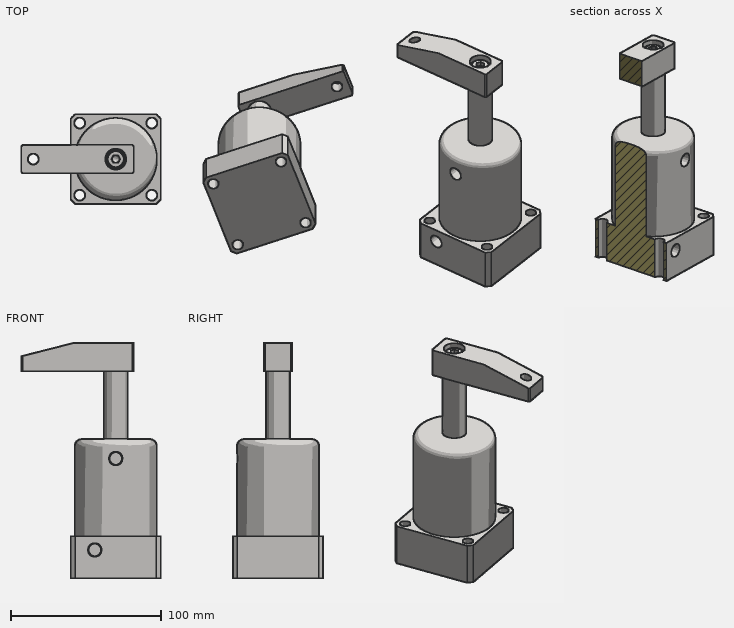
import cadquery as cq
import math


BASE_SIDE = 60.0
BASE_HEIGHT = 28.3
BASE_CHAMFER = 3.0
CYLINDER_DIAMETER = 55.0
CYLINDER_TOP = 93.0
CYLINDER_FILLET = 5.0
MOUNT_HOLE_DIAMETER = 7.0
MOUNT_HOLE_SPACING = 48.0

PORT_MOUTH_DIAMETER = 9.1
PORT_FLOOR_DIAMETER = 8.3
PORT_DEPTH = 10.0
UPPER_PORT_X = 0.0
UPPER_PORT_Z = 79.9
LOWER_PORT_X = -14.0
LOWER_PORT_Z = 19.0

ROD_DIAMETER = 16.0
ROD_SOCKET_FLOOR = BASE_HEIGHT

OVERALL_HEIGHT = 157.0
ARM_HEIGHT = 19.0
ARM_BOTTOM = OVERALL_HEIGHT - ARM_HEIGHT
ARM_WIDTH = 19.0
ARM_TIP_X = -63.0
ARM_HEEL_X = 12.0
ARM_TIP_HEIGHT = 10.0
ARM_SLOPE_LENGTH = 35.0
ARM_CHAMFER = 1.0
ARM_HOLE_X = -55.0
ARM_HOLE_DIAMETER = 7.0

COUNTERBORE_DIAMETER = 14.0
COUNTERBORE_DEPTH = 10.5
SCREW_SHANK_DIAMETER = 8.0
SCREW_SHANK_DEPTH = 12.5
SCREW_HEAD_DIAMETER = 12.9
SCREW_HEAD_HEIGHT = 8.0
SCREW_HEAD_CHAMFER = 1.1
HEX_ACROSS_FLATS = 5.0
HEX_DEPTH = 3.0
HEX_CONE_DEPTH = 1.0
SEAT_Z = OVERALL_HEIGHT - COUNTERBORE_DEPTH
SHANK_END_Z = ARM_BOTTOM - SCREW_SHANK_DEPTH


def upright_cylinder(diameter, bottom, top):
    """Cylinder on the Z axis between two heights."""
    return cq.Workplane("XY").workplane(offset=bottom).circle(diameter / 2).extrude(top - bottom)


def port_cutter(x, z, face_y):
    """Blind tapered hole along +Y, widest on the plane y = face_y."""
    mouth_center = cq.Vector(x, face_y, z)
    direction = cq.Vector(0, 1, 0)
    return cq.Solid.makeCone(
        PORT_MOUTH_DIAMETER / 2, PORT_FLOOR_DIAMETER / 2, PORT_DEPTH, mouth_center, direction
    )


def make_housing():
    """Base and cylinder in one piece, with mounting holes, two ports and a bore for the rod."""
    base = cq.Workplane("XY").rect(BASE_SIDE, BASE_SIDE).extrude(BASE_HEIGHT)
    base = base.edges("|Z").chamfer(BASE_CHAMFER)
    base = (
        base.faces(">Z").workplane()
        .rect(MOUNT_HOLE_SPACING, MOUNT_HOLE_SPACING, forConstruction=True)
        .vertices().hole(MOUNT_HOLE_DIAMETER)
    )
    cylinder = upright_cylinder(CYLINDER_DIAMETER, BASE_HEIGHT, CYLINDER_TOP)
    cylinder = cylinder.faces(">Z").edges().fillet(CYLINDER_FILLET)
    housing = base.union(cylinder)
    housing = housing.cut(port_cutter(UPPER_PORT_X, UPPER_PORT_Z, -CYLINDER_DIAMETER / 2))
    housing = housing.cut(port_cutter(LOWER_PORT_X, LOWER_PORT_Z, -BASE_SIDE / 2))
    return housing.cut(upright_cylinder(ROD_DIAMETER, ROD_SOCKET_FLOOR, CYLINDER_TOP))


def make_rod():
    """Piston rod from its socket to the arm, with a blind hole for the screw."""
    rod = upright_cylinder(ROD_DIAMETER, ROD_SOCKET_FLOOR, ARM_BOTTOM)
    return rod.cut(upright_cylinder(SCREW_SHANK_DIAMETER, SHANK_END_Z, ARM_BOTTOM))


def make_arm():
    """Clamp arm, sloped towards its tip, with a tip hole and a counterbored screw hole."""
    side_outline = [
        (ARM_TIP_X, ARM_BOTTOM),
        (ARM_HEEL_X, ARM_BOTTOM),
        (ARM_HEEL_X, OVERALL_HEIGHT),
        (ARM_TIP_X + ARM_SLOPE_LENGTH, OVERALL_HEIGHT),
        (ARM_TIP_X, ARM_BOTTOM + ARM_TIP_HEIGHT),
    ]
    arm = cq.Workplane("XZ").polyline(side_outline).close().extrude(ARM_WIDTH / 2, both=True)
    arm = arm.edges("|Z").chamfer(ARM_CHAMFER)
    tip_hole = upright_cylinder(ARM_HOLE_DIAMETER, ARM_BOTTOM, OVERALL_HEIGHT)
    arm = arm.cut(tip_hole.translate((ARM_HOLE_X, 0, 0)))
    arm = arm.cut(upright_cylinder(COUNTERBORE_DIAMETER, SEAT_Z, OVERALL_HEIGHT))
    return arm.cut(upright_cylinder(SCREW_SHANK_DIAMETER, ARM_BOTTOM, SEAT_Z))


def make_screw():
    """Socket-head screw seated in the counterbore and threaded into the rod."""
    head_top = SEAT_Z + SCREW_HEAD_HEIGHT
    head = upright_cylinder(SCREW_HEAD_DIAMETER, SEAT_Z, head_top)
    head = head.faces(">Z").edges().chamfer(SCREW_HEAD_CHAMFER)
    hex_across_corners = HEX_ACROSS_FLATS / math.cos(math.pi / 6)
    hex_socket = (
        cq.Workplane("XY").workplane(offset=head_top)
        .polygon(6, hex_across_corners).extrude(-HEX_DEPTH)
    )
    cone_base = cq.Vector(0, 0, head_top - HEX_DEPTH)
    downward = cq.Vector(0, 0, -1)
    hex_floor = cq.Solid.makeCone(HEX_ACROSS_FLATS / 2, 0, HEX_CONE_DEPTH, cone_base, downward)
    shank = upright_cylinder(SCREW_SHANK_DIAMETER, SHANK_END_Z, SEAT_Z)
    return head.cut(hex_socket).cut(hex_floor).union(shank)


housing = make_housing()
rod = make_rod()
arm = make_arm()
screw = make_screw()

result = cq.Compound.makeCompound([housing.val(), rod.val(), arm.val(), screw.val()])